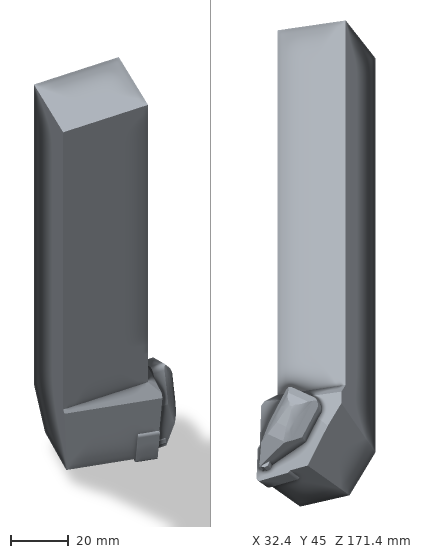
import cadquery as cq
import math

LENGTH = 171.4
SHANK_X = 24.8
SHANK_Y = 32.0
FLARE_START_Z = 32.0
HEAD_Y = 36.7
REACH = 51.4

TILT = math.tan(math.radians(6.0))
LEAD_ANGLE = 5.0
LEAD = math.tan(math.radians(LEAD_ANGLE))
RAKE_NORMAL = cq.Vector(TILT, 1, -TILT)

CORNER_X = 28.3
CORNER_Z = 4.1
CORNER_CUT = 0.9
BACK_CUT_X = 9.5
BACK_CUT_TOP_Z = 20.7
BACK_CUT_Z = CORNER_Z + LEAD * (CORNER_X - BACK_CUT_X)
BACK_SLOPE = (BACK_CUT_TOP_Z - BACK_CUT_Z) / BACK_CUT_X
SIDE_TOP_Z = 37.7

NOSE_RADIUS = 1.2
NOSE_X = 31.2
NOSE_Z = 1.2
INSERT_ANGLE = 80.0
INSERT_EDGE = 12.9
INSERT_THICKNESS = 7.9
RAKE_BREAK_X = 17.8
RAKE_BREAK_Z = 28.0

CLAMP_X = 5.8
CLAMP_Z = 22.8
CLAMP_WIDTH = 14.2
LEFT_RADIUS = 3.0
RIGHT_RADIUS = 2.0
CLAMP_WALL_Y = 41.1
CLAMP_BEVEL = 1.9
CLAMP_CROWN_Y = 46.0
CLAMP_FALL = 0.12
CLAMP_TOP_Y = 45.0
OVERHANG = 4.3
SUNK_Y = 32.2
BACK_WALL_Y = 41.5
BACK_BREAK = 2.9
BACK_BREAK_Y = 43.9
BACK_RIDGE = 6.0
SIDE_END = 14.2
NOSE_START_Y = 43.9
NOSE_BREAK = 19.0
NOSE_BREAK_Y = 42.7
CLAMP_LENGTH = 29.5
TIP_OFFSET = 10.0

PAD_SIDES = 8
PAD_SIZE = 3.8
PAD_X = 28.1
PAD_Z = 4.6
PAD_BASE_Y = 33.5

BACK_ANGLE = math.atan(BACK_SLOPE)
ALONG = (math.cos(BACK_ANGLE), -math.sin(BACK_ANGLE))
ACROSS = (-ALONG[1], ALONG[0])


def plan(y):
    """Workplane at height y whose local axes are X and Z; extrude by -h to rise in Y."""
    return cq.Workplane("XZ", origin=(0, y, 0))


def rake_plane(x, z):
    """Plane of the tilted rake face with its origin at X, Z; its normal points into the head."""
    y = HEAD_Y - TILT * (x - RAKE_BREAK_X) + TILT * (z - RAKE_BREAK_Z)
    return cq.Plane(origin=(x, y, z), xDir=(1, -TILT, 0), normal=(-RAKE_NORMAL).toTuple())


def make_insert():
    side_angle = math.radians(90 + LEAD_ANGLE)
    end_angle = side_angle + math.radians(INSERT_ANGLE)
    middle_angle = (side_angle + end_angle) / 2
    to_corner = NOSE_RADIUS / math.sin(math.radians(INSERT_ANGLE / 2))
    corner = cq.Vector(-to_corner * math.cos(middle_angle), -to_corner * math.sin(middle_angle))
    side = cq.Vector(math.cos(side_angle), math.sin(side_angle)) * INSERT_EDGE
    end = cq.Vector(math.cos(end_angle), math.sin(end_angle)) * INSERT_EDGE
    outline = [corner, corner + side, corner + side + end, corner + end]
    block = cq.Workplane(rake_plane(NOSE_X, NOSE_Z)).polyline([(p.x, p.y) for p in outline]).close()
    thickness_edges = cq.selectors.ParallelDirSelector(RAKE_NORMAL)
    return block.extrude(INSERT_THICKNESS).edges(thickness_edges).fillet(NOSE_RADIUS)


def make_envelope():
    """Shank that flares at 45 degrees towards +X and +Y at its lower end."""
    flare_y = HEAD_Y - SHANK_Y
    across_y = (
        cq.Workplane("YZ")
        .polyline([
            (0, 0), (HEAD_Y, 0), (HEAD_Y, FLARE_START_Z - flare_y),
            (SHANK_Y, FLARE_START_Z), (SHANK_Y, LENGTH), (0, LENGTH),
        ])
        .close()
        .extrude(REACH)
    )
    across_x = (
        plan(0)
        .polyline([
            (0, 0), (SHANK_X + FLARE_START_Z, 0),
            (SHANK_X, FLARE_START_Z), (SHANK_X, LENGTH), (0, LENGTH),
        ])
        .close()
        .extrude(-REACH)
    )
    return across_y.intersect(across_x)


def make_head_sides():
    """Oblique prism along the rake normal that trims the back cut, bottom and side."""
    outline = [
        (BACK_CUT_X, BACK_CUT_Z),
        (CORNER_X - CORNER_CUT, CORNER_Z + LEAD * CORNER_CUT),
        (CORNER_X - LEAD * CORNER_CUT, CORNER_Z + CORNER_CUT),
        (CORNER_X - LEAD * (SIDE_TOP_Z - CORNER_Z), SIDE_TOP_Z),
        (REACH, SIDE_TOP_Z),
        (REACH, LENGTH + REACH),
        (-BACK_CUT_X, LENGTH + REACH),
        (-BACK_CUT_X, BACK_CUT_TOP_Z + BACK_SLOPE * BACK_CUT_X),
    ]
    wire = plan(0).polyline(outline).close().wire().val()
    return cq.Workplane(cq.Solid.extrudeLinear(wire, [], RAKE_NORMAL * REACH))


def make_rake_cut():
    """Everything above the rake face."""
    face = rake_plane(RAKE_BREAK_X, RAKE_BREAK_Z)
    return cq.Workplane(face).rect(2 * REACH, 2 * REACH).extrude(-REACH)


def clamp_point(across, along):
    """X and Z of a point given across and along the clamp from its rear left corner."""
    return (
        CLAMP_X + across * ACROSS[0] + along * ALONG[0],
        CLAMP_Z + across * ACROSS[1] + along * ALONG[1],
    )


def make_clamp_bar():
    """Bar with bevelled sides and a rounded crown that falls towards the nose."""
    section = cq.Plane(
        origin=(CLAMP_X, 0, CLAMP_Z),
        xDir=(ACROSS[0], 0, ACROSS[1]),
        normal=(-ALONG[0], 0, -ALONG[1]),
    )
    shoulder_y = CLAMP_WALL_Y + CLAMP_BEVEL
    wire = (
        cq.Workplane(section)
        .lineTo(0, CLAMP_WALL_Y)
        .lineTo(CLAMP_BEVEL, shoulder_y)
        .threePointArc((CLAMP_WIDTH / 2, CLAMP_CROWN_Y), (CLAMP_WIDTH - CLAMP_BEVEL, shoulder_y))
        .lineTo(CLAMP_WIDTH, CLAMP_WALL_Y)
        .lineTo(CLAMP_WIDTH, 0)
        .close()
        .wire()
        .val()
    )
    direction = cq.Vector(ALONG[0], -CLAMP_FALL, ALONG[1]) * CLAMP_LENGTH
    return cq.Workplane(cq.Solid.extrudeLinear(wire, [], direction))


def make_clamp_outline():
    """Prism with two rounded rear corners and a pointed nose."""
    left = clamp_point(0, 0)
    right = clamp_point(CLAMP_WIDTH, 0)
    outline = (
        plan(0)
        .polyline([
            left, clamp_point(0, SIDE_END),
            clamp_point(TIP_OFFSET, CLAMP_LENGTH),
            clamp_point(CLAMP_WIDTH, SIDE_END), right,
        ])
        .close()
        .extrude(-REACH)
    )
    for corner, radius in ((left, LEFT_RADIUS), (right, RIGHT_RADIUS)):
        corner_edge = cq.NearestToPointSelector((corner[0], REACH / 2, corner[1]))
        outline = outline.edges(corner_edge).fillet(radius)
    return outline


def make_clamp_profile():
    """Lengthwise profile: bevelled back, capped crown, sloping nose and stepped underside."""
    side = cq.Plane(
        origin=(CLAMP_X, 0, CLAMP_Z),
        xDir=(ALONG[0], 0, ALONG[1]),
        normal=(ACROSS[0], 0, ACROSS[1]),
    )
    return (
        cq.Workplane(side)
        .polyline([
            (0, HEAD_Y), (0, BACK_WALL_Y), (BACK_BREAK, BACK_BREAK_Y),
            (BACK_RIDGE, CLAMP_TOP_Y), (SIDE_END / 2, CLAMP_TOP_Y),
            (SIDE_END, NOSE_START_Y), (NOSE_BREAK, NOSE_BREAK_Y), (CLAMP_LENGTH, HEAD_Y),
            (CLAMP_LENGTH, SUNK_Y), (OVERHANG, SUNK_Y), (OVERHANG, HEAD_Y),
        ])
        .close()
        .extrude(CLAMP_WIDTH)
    )


def make_clamp_pad():
    """Small pad under the clamp nose, pressing on the insert."""
    pad = plan(PAD_BASE_Y).center(PAD_X, PAD_Z)
    return pad.polygon(PAD_SIDES, PAD_SIZE).extrude(PAD_BASE_Y - HEAD_Y)


insert = make_insert()

head = make_envelope().intersect(make_head_sides()).cut(make_rake_cut())
clamp_parts = make_clamp_bar().intersect(make_clamp_outline()).intersect(make_clamp_profile())
clamp_parts = clamp_parts.union(make_clamp_pad())
holder = head.union(clamp_parts).cut(insert)

result = cq.Compound.makeCompound([holder.val(), insert.val()])